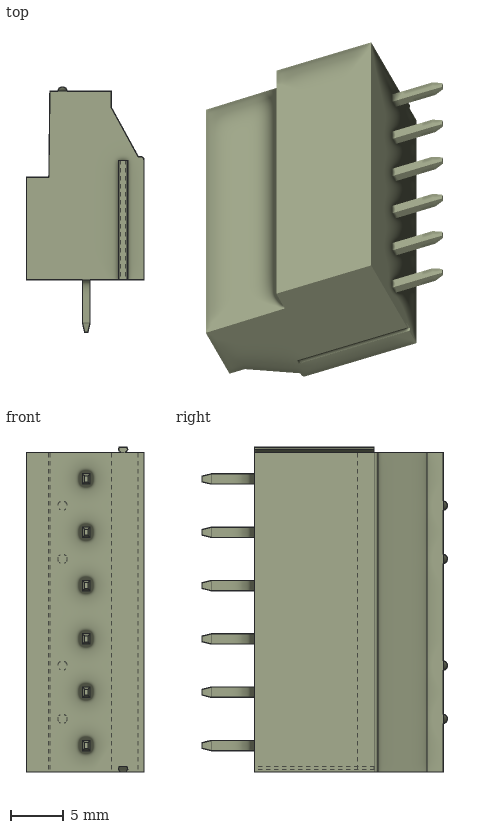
import cadquery as cq

POLES = 6
PITCH = 5.08
HEIGHT = POLES * PITCH

BASE_WIDTH = 11.2
DEPTH = 18.0
STEP_Y = 9.8
STEP_X = 2.12
WALL_DRAFT = 0.1
BACK_RIGHT_X = 8.1
SLOPE_TOP_Y = 16.42
SLOPE_FOOT_X = 10.65
SLOPE_FOOT_Y = 11.75
LEDGE_LENGTH = 0.25
CORNER_RADIUS = BASE_WIDTH - SLOPE_FOOT_X - LEDGE_LENGTH

PIN_X = 5.7
PIN_WIDTH = 0.75
PIN_HEIGHT = 1.0
PIN_LENGTH = 5.0
PIN_SHANK = 4.1
TIP_WIDTH = 0.3
TIP_HEIGHT = 0.55

RIB_X = 9.2
RIB_LENGTH = 11.4
RIB_HEIGHT = 0.5
RIB_WIDTH = 0.9
RIB_ROOT = 0.5
RIB_CREST = 0.74
GROOVE_DEPTH = 0.55

BUMP_X = 3.43
BUMP_RADIUS = 0.45
BUMP_HEIGHT = 0.4
BUMP_LINES = (1, 2, 4, 5)


def make_housing():
    """Stepped and sloped profile, extruded over all poles."""
    corner_y = SLOPE_FOOT_Y - CORNER_RADIUS
    return (
        cq.Workplane("XY")
        .moveTo(0, 0)
        .lineTo(BASE_WIDTH, 0)
        .lineTo(BASE_WIDTH, corner_y)
        .radiusArc((BASE_WIDTH - CORNER_RADIUS, SLOPE_FOOT_Y), -CORNER_RADIUS)
        .lineTo(SLOPE_FOOT_X, SLOPE_FOOT_Y)
        .lineTo(BACK_RIGHT_X, SLOPE_TOP_Y)
        .lineTo(BACK_RIGHT_X, DEPTH)
        .lineTo(STEP_X + WALL_DRAFT, DEPTH)
        .lineTo(STEP_X, STEP_Y)
        .lineTo(0, STEP_Y)
        .close()
        .extrude(HEIGHT)
    )


def make_rib(base_z, height):
    """Six-sided bar standing on base_z, running back from the front face."""
    mid_z = base_z + height / 2
    top_z = base_z + height
    half_root = RIB_ROOT / 2
    half_width = RIB_WIDTH / 2
    half_crest = RIB_CREST / 2
    return (
        cq.Workplane("XZ")
        .polyline([
            (RIB_X - half_root, base_z),
            (RIB_X + half_root, base_z),
            (RIB_X + half_width, mid_z),
            (RIB_X + half_crest, top_z),
            (RIB_X - half_crest, top_z),
            (RIB_X - half_width, mid_z),
        ])
        .close()
        .extrude(-RIB_LENGTH)
    )


def make_pin(z):
    """Rectangular pin along -Y with a tapered tip."""
    shank = (
        cq.Workplane("XZ", origin=(PIN_X, 0, z))
        .rect(PIN_WIDTH, PIN_HEIGHT)
        .extrude(PIN_SHANK)
    )
    tip = (
        cq.Workplane("XZ", origin=(PIN_X, -PIN_SHANK, z))
        .rect(PIN_WIDTH, PIN_HEIGHT)
        .workplane(offset=PIN_LENGTH - PIN_SHANK)
        .rect(TIP_WIDTH, TIP_HEIGHT)
        .loft()
    )
    return shank.union(tip)


def make_bump(z):
    """Ball sunk into the back face, leaving BUMP_HEIGHT proud of it."""
    center_y = DEPTH + BUMP_HEIGHT - BUMP_RADIUS
    return cq.Workplane("XY").sphere(BUMP_RADIUS).translate((BUMP_X, center_y, z))


result = make_housing().union(make_rib(HEIGHT, RIB_HEIGHT)).cut(make_rib(0, GROOVE_DEPTH))
for pole in range(POLES):
    result = result.union(make_pin((pole + 0.5) * PITCH))
for line in BUMP_LINES:
    result = result.union(make_bump(line * PITCH))